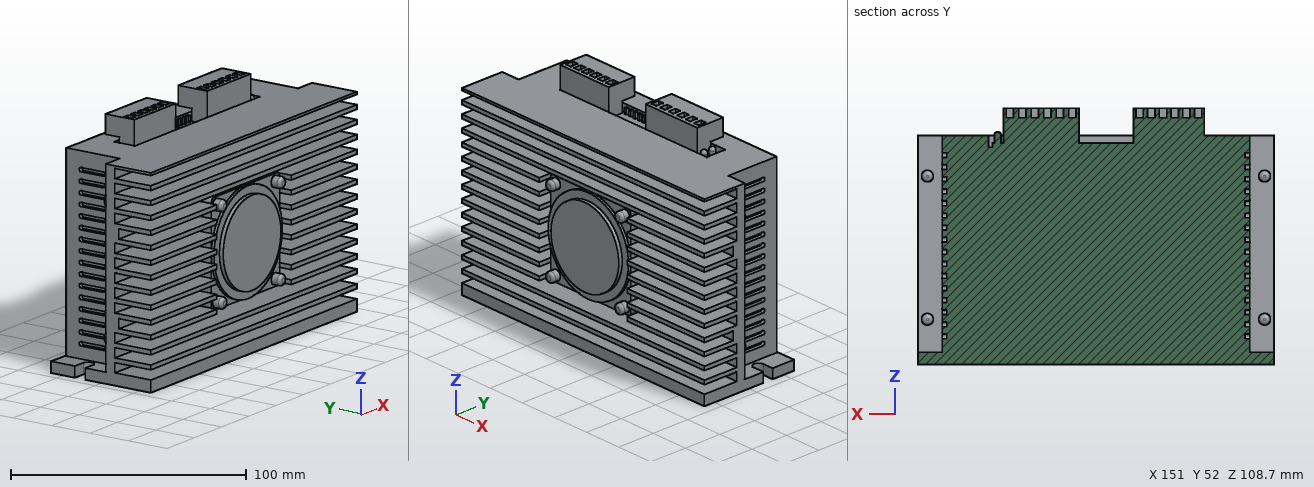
import cadquery as cq


width = 151.0
depth = 52.0
housing_height = 97.2
overall_height = 108.7

fin_root_y = 18.7
base_back_y = 23.4
fin_count = 14
bottom_fin_thickness = 5.7
fin_gap = 4.5
top_fin_thickness = 1.2
fin_pitch = (housing_height - top_fin_thickness - fin_gap - bottom_fin_thickness) / (fin_count - 1)
shallow_gaps = (3, 9)
shallow_gap_floor_y = 16.7

plate_thickness = 5.2
slot_width = 5.3
slot_length = 8.6
slot_y = 36.85

cover_width = 130.6
cover_edge_radius = 1.0
vent_count = 16
vent_pitch = 5.13
vent_first_z = 11.9
vent_width = 1.9
vent_front_y = 30.8
vent_back_y = 44.5
vent_depth = 2.0

fan_size = 50.0
fan_z = 48.2
fan_back_y = 15.4
fan_frame_front_y = 4.4
fan_ring_front_y = 3.0
fan_hub_front_y = 1.0
fan_corner_radius = 2.0
fan_hub_diameter = 42.2
fan_recess_width = 54.7
fan_recess_first_fin = 2
fan_recess_last_fin = 9
fan_screw_spacing = 43.0

fan_screw_radius = 2.65
fan_screw_rounding = 1.5
cover_screw_radius = 2.5
cover_screw_height = 3.0
cover_screw_rounding = 2.0
cover_screw_x = 71.5
cover_screw_heights = (19.2, 79.9)

window_left = -46.0
window_right = 45.5
window_front_y = 29.2
window_back_y = 40.0
window_depth = 5.0
window_side_clearance = 1.5
window_back_clearance = 1.2
block_top_z = 94.0
block_right = window_right - window_side_clearance
block_back_y = window_back_y - window_back_clearance

connector_front_y = 29.5
connector_back_y = 44.6
connector_foot_back_y = 37.5
connector_overhang_z = 99.7
left_connector_left = window_left
left_connector_right = -15.8
right_connector_left = 7.2
right_connector_right = 39.3
terminal_count = 6
left_terminal_pitch = 4.97
right_terminal_pitch = 5.3
terminal_width = 3.0
terminal_front_y = 31.7
terminal_back_y = 35.8
terminal_depth = 4.0

lever_count = 8
lever_pitch = 2.75
lever_width = 1.3
lever_depth = 1.4
lever_top_z = 96.9
lever_row_x = (left_connector_right + right_connector_left) / 2

lamp_radius = 1.5
lamp_x = 41.7
lamp_ys = (31.3, 36.1)
lamp_top_z = 98.7


def box(x_range, y_range, z_range):
    """Axis-aligned box spanning the given (low, high) ranges."""
    (x0, x1), (y0, y1), (z0, z1) = x_range, y_range, z_range
    return cq.Workplane("XY").box(x1 - x0, y1 - y0, z1 - z0, centered=False).translate((x0, y0, z0))


def centred(size, middle=0.0):
    """(low, high) range of the given size about its middle."""
    return (middle - size / 2, middle + size / 2)


def row(count, pitch, middle):
    """Evenly spaced positions about the middle."""
    return [middle + (i - (count - 1) / 2) * pitch for i in range(count)]


def y_cylinder(radius, x, z, y_start, y_end):
    """Cylinder along Y between two Y positions, in either direction."""
    direction = cq.Vector(0, 1 if y_end > y_start else -1, 0)
    start = cq.Vector(x, y_start, z)
    return cq.Workplane(cq.Solid.makeCylinder(radius, abs(y_end - y_start), start, direction))


def gap_bottom(index):
    """Z of the underside of a gap between fins, counted from the bottom."""
    return bottom_fin_thickness + index * fin_pitch


def heatsink():
    """Finned block whose middle fins are cut back to make room for the fan."""
    body = box(centred(width), (0, base_back_y), (0, housing_height))
    for index in range(fin_count):
        floor_y = shallow_gap_floor_y if index in shallow_gaps else fin_root_y
        z = gap_bottom(index)
        body = body.cut(box(centred(width), (0, floor_y), (z, z + fin_gap)))
    recess_bottom = gap_bottom(fan_recess_first_fin) + fin_gap
    recess_top = gap_bottom(fan_recess_last_fin + 1)
    return body.cut(box(centred(fan_recess_width), (0, fan_back_y), (recess_bottom, recess_top)))


def mounting_plate():
    """Bottom plate behind the heatsink, with an open slot in each end."""
    plate = box(centred(width), (base_back_y, depth), (0, plate_thickness))
    for side in (-1, 1):
        slot = (
            cq.Workplane("XY")
            .center(side * width / 2, slot_y)
            .slot2D(2 * slot_length, slot_width)
            .extrude(plate_thickness)
        )
        plate = plate.cut(slot)
    return plate


def cover():
    """Cover with rounded back edges, side vents and the connector window."""
    body = box(centred(cover_width), (base_back_y, depth), (plate_thickness, housing_height))
    body = body.faces(">Y").edges(">Z or >X or <X").fillet(cover_edge_radius)
    vent_length = vent_back_y - vent_front_y
    vent_y = (vent_front_y + vent_back_y) / 2
    vent_centres = [(vent_y, vent_first_z + i * vent_pitch) for i in range(vent_count)]
    for side in (-1, 1):
        vents = (
            cq.Workplane("YZ", origin=(side * cover_width / 2, 0, 0))
            .pushPoints(vent_centres)
            .slot2D(vent_length, vent_width)
            .extrude(-side * vent_depth)
        )
        body = body.cut(vents)
    window = box(
        (window_left, window_right),
        (window_front_y, window_back_y),
        (housing_height - window_depth, housing_height),
    )
    return body.cut(window)


def fan():
    """Square fan frame with a raised ring, a hub and four corner screw heads."""
    frame = box(
        centred(fan_size),
        (fan_frame_front_y, fan_back_y),
        centred(fan_size, fan_z),
    )
    frame = frame.edges("|Y").fillet(fan_corner_radius)
    ring = y_cylinder(fan_size / 2, 0, fan_z, fan_frame_front_y, fan_ring_front_y)
    hub = y_cylinder(fan_hub_diameter / 2, 0, fan_z, fan_ring_front_y, fan_hub_front_y)
    body = frame.union(ring).union(hub)
    for x in row(2, fan_screw_spacing, 0):
        for z in row(2, fan_screw_spacing, fan_z):
            head = y_cylinder(fan_screw_radius, x, z, fan_frame_front_y, 0)
            body = body.union(head.faces("<Y").edges().fillet(fan_screw_rounding))
    return body


def cover_screws():
    """Heads of the four screws in the heatsink base, two on each side of the cover."""
    screws = []
    for x in (-cover_screw_x, cover_screw_x):
        for z in cover_screw_heights:
            head = y_cylinder(cover_screw_radius, x, z, base_back_y, base_back_y + cover_screw_height)
            screws.append(head.faces(">Y").edges().fillet(cover_screw_rounding))
    return screws


def socket_block():
    """Block filling the window floor, carrying the setting levers and lamps."""
    block_floor_z = housing_height - window_depth
    block = box(
        (window_left, block_right),
        (window_front_y, block_back_y),
        (block_floor_z, block_top_z),
    )
    for x in row(lever_count, lever_pitch, lever_row_x):
        lever = box(
            centred(lever_width, x),
            (block_back_y - lever_depth, block_back_y),
            (block_top_z, lever_top_z),
        )
        block = block.union(lever)
    lamp_dome_z = lamp_top_z - lamp_radius
    for y in lamp_ys:
        lamp = cq.Workplane("XY", origin=(lamp_x, y, block_top_z)).circle(lamp_radius)
        lamp = lamp.extrude(lamp_dome_z - block_top_z)
        dome = cq.Workplane("XY", origin=(lamp_x, y, lamp_dome_z)).sphere(lamp_radius)
        block = block.union(lamp.union(dome))
    return block


def connector(left, right, terminal_pitch):
    """Terminal connector with a rear overhang and a row of wire openings on top."""
    foot = box(
        (left, right),
        (connector_front_y, connector_foot_back_y),
        (block_top_z, connector_overhang_z),
    )
    head = box(
        (left, right),
        (connector_front_y, connector_back_y),
        (connector_overhang_z, overall_height),
    )
    body = foot.union(head)
    for x in row(terminal_count, terminal_pitch, (left + right) / 2):
        opening = box(
            centred(terminal_width, x),
            (terminal_front_y, terminal_back_y),
            (overall_height - terminal_depth, overall_height),
        )
        body = body.cut(opening)
    return body


result = heatsink().union(mounting_plate()).union(cover()).union(fan())
for screw_head in cover_screws():
    result = result.union(screw_head)
result = result.union(socket_block())
result = result.union(connector(left_connector_left, left_connector_right, left_terminal_pitch))
result = result.union(connector(right_connector_left, right_connector_right, right_terminal_pitch))